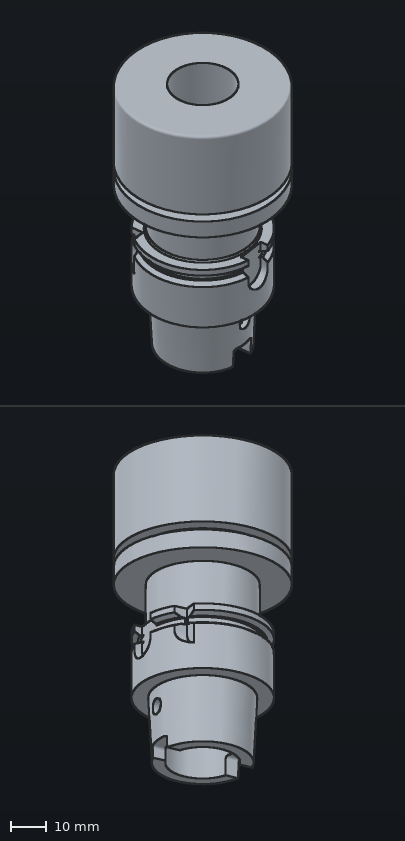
import cadquery as cq
import math


head_radius = 25.0
head_top = 70.0
head_bottom = 35.0
head_edge_round = 1.0
head_groove_radius = 20.5
head_groove_bottom = 40.5
head_groove_width = 2.5
tool_bore_radius = 10.0
tool_bore_depth = 41.0

neck_radius = 16.0
neck_foot = 0.55

flange_radius = 20.0
flange_height = 20.0
gripper_center = 16.0
gripper_mouth_width = 4.0
gripper_floor_width = 2.0
gripper_floor_radius = 17.4
gripper_flank_angle = 60.0

flange_slot_width = 9.0
flange_slot_bottom = 8.0
key_slot_floor_x = 17.0
notch_wall_x = -12.0
notch_wall_y = -12.0

shank_length = 20.0
shank_top_radius = 15.3
shank_taper = 1 / 10
shank_mouth_radius = 10.5
shank_chamber_radius = 12.75
clamping_shoulder_bottom = -9.5
clamping_shoulder_top = -8.2
cross_hole_diameter = 4.6
cross_hole_z = -6.0
drive_slot_width = 8.0
shallow_drive_slot_depth = 3.75
deep_drive_slot_depth = 6.0
drive_slot_corner = 0.9


def make_body():
    """Solid of revolution holding every turned outside surface."""
    shank_end_radius = shank_top_radius - shank_length * shank_taper / 2
    mouth_half = gripper_mouth_width / 2
    floor_half = gripper_floor_width / 2
    flank_rise = mouth_half - floor_half
    lip_radius = flange_radius - flank_rise * math.tan(math.radians(gripper_flank_angle))
    head_groove_top = head_groove_bottom + head_groove_width
    round_center_radius = head_radius - head_edge_round
    round_center_z = head_top - head_edge_round
    round_reach = head_edge_round * math.sin(math.radians(45))

    profile = (
        cq.Workplane("XZ")
        .moveTo(0, -shank_length)
        .lineTo(shank_end_radius, -shank_length)
        .lineTo(shank_top_radius, 0)
        .lineTo(flange_radius, 0)
        .lineTo(flange_radius, gripper_center - mouth_half)
        .lineTo(lip_radius, gripper_center - floor_half)
        .lineTo(gripper_floor_radius, gripper_center - floor_half)
        .lineTo(gripper_floor_radius, gripper_center + floor_half)
        .lineTo(lip_radius, gripper_center + floor_half)
        .lineTo(flange_radius, gripper_center + mouth_half)
        .lineTo(flange_radius, flange_height)
        .lineTo(neck_radius + neck_foot, flange_height)
        .lineTo(neck_radius, flange_height + neck_foot)
        .lineTo(neck_radius, head_bottom)
        .lineTo(head_radius, head_bottom)
        .lineTo(head_radius, head_groove_bottom)
        .lineTo(head_groove_radius, head_groove_bottom)
        .lineTo(head_groove_radius, head_groove_top)
        .lineTo(head_radius, head_groove_top)
        .lineTo(head_radius, round_center_z)
        .threePointArc(
            (round_center_radius + round_reach, round_center_z + round_reach),
            (round_center_radius, head_top),
        )
        .lineTo(0, head_top)
        .close()
    )
    return profile.revolve(360, (0, 0, 0), (0, 1, 0))


def tool_bore():
    """Blind round bore from the top of the head."""
    return cq.Workplane("XY").workplane(offset=head_top).circle(tool_bore_radius).extrude(-tool_bore_depth)


def shank_cavity():
    """Bore of the shank: a narrow mouth, a conical clamping shoulder and a wider chamber above."""
    return (
        cq.Workplane("XZ")
        .moveTo(0, -shank_length)
        .lineTo(shank_mouth_radius, -shank_length)
        .lineTo(shank_mouth_radius, clamping_shoulder_bottom)
        .lineTo(shank_chamber_radius, clamping_shoulder_top)
        .lineTo(shank_chamber_radius, 0)
        .lineTo(0, 0)
        .close()
        .revolve(360, (0, 0, 0), (0, 1, 0))
    )


def flange_slot(center_y, x_start, x_end):
    """Cutter running along X: round bottom, open through the top of the flange."""
    half_width = flange_slot_width / 2
    arc_z = flange_slot_bottom + half_width
    top_z = flange_height + neck_foot
    return (
        cq.Workplane("YZ")
        .workplane(offset=x_start)
        .moveTo(center_y - half_width, top_z)
        .lineTo(center_y - half_width, arc_z)
        .threePointArc((center_y, flange_slot_bottom), (center_y + half_width, arc_z))
        .lineTo(center_y + half_width, top_z)
        .close()
        .extrude(x_end - x_start)
    )


def cross_hole():
    """Round hole along X through both walls of the shank."""
    return (
        cq.Workplane("YZ")
        .center(0, cross_hole_z)
        .circle(cross_hole_diameter / 2)
        .extrude(flange_radius, both=True)
    )


def drive_slot(depth, reach):
    """Slot in one wall of the shank end, with rounded upper corners, cut from the axis along X."""
    return (
        cq.Workplane("YZ")
        .center(0, -shank_length)
        .rect(drive_slot_width, 2 * depth)
        .extrude(reach)
        .edges("|X")
        .fillet(drive_slot_corner)
    )


result = make_body()
result = result.cut(tool_bore())
result = result.cut(shank_cavity())

result = result.cut(flange_slot(0, -flange_radius, -key_slot_floor_x))
result = result.cut(flange_slot(0, key_slot_floor_x, flange_radius))

result = result.cut(flange_slot(notch_wall_y - flange_slot_width / 2, -flange_radius, notch_wall_x))

result = result.cut(cross_hole())

result = result.cut(drive_slot(shallow_drive_slot_depth, -flange_radius))
result = result.cut(drive_slot(deep_drive_slot_depth, flange_radius))